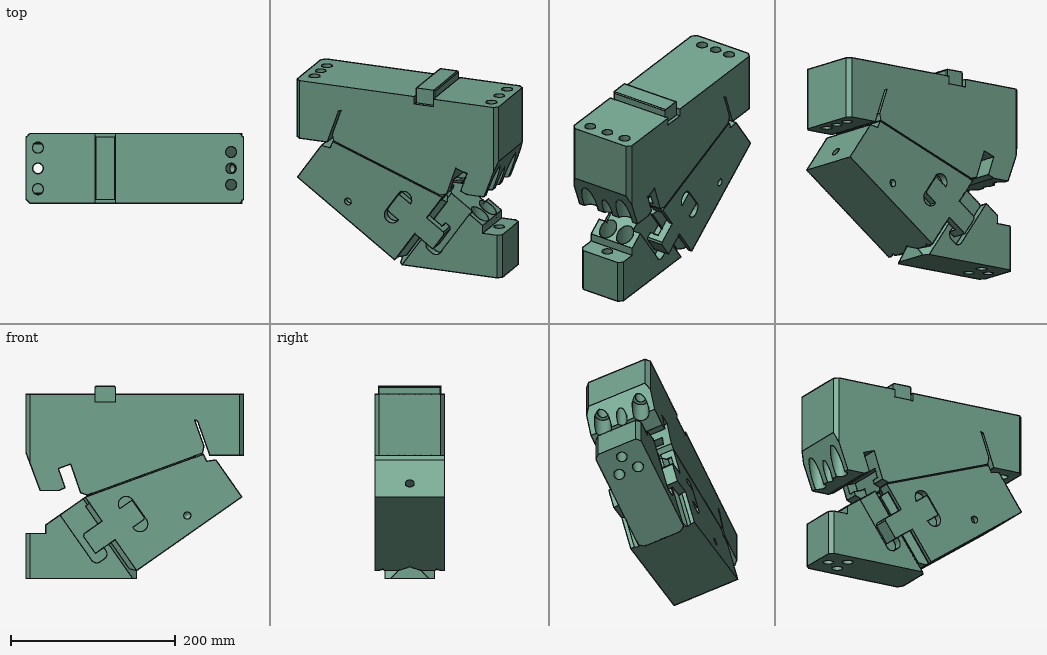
import cadquery as cq
import math


LENGTH = 265.0
WIDTH = 85.0
KEY_TOP = 234.0
HALF_WIDTH = WIDTH / 2
CAM_ANGLE = 20.0
SLIDER_ANGLE = 35.0
CAM_SLOPE = math.tan(math.radians(CAM_ANGLE))
CORNER_CHAMFER = 5.0

SECTION = cq.Plane(origin=(0, 0, 0), xDir=(1, 0, 0), normal=(0, -1, 0))
HEEL_X, HEEL_Z = 135.0, 9.8
COS_S = math.cos(math.radians(SLIDER_ANGLE))
SIN_S = math.sin(math.radians(SLIDER_ANGLE))
ALONG = cq.Vector(COS_S, 0, SIN_S)
UP_FACE = cq.Vector(-SIN_S, 0, COS_S)
HEEL = cq.Vector(HEEL_X, 0, HEEL_Z)
SLIDER_PLANE = cq.Plane(origin=HEEL, xDir=ALONG, normal=(0, -1, 0))

SLIDER_LENGTH = 156.0
SLIDER_FRONT_HEIGHT = 109.0
SLIDER_BACK_HEIGHT = 55.0
SLIDER_SLOPE = math.tan(math.radians(SLIDER_ANGLE - CAM_ANGLE))
SLIDER_TOP_LENGTH = 147.5
STEP_X, STEP_HEIGHT = 146.0, 60.2

GUIDE_ANGLE = 30.0
GUIDE_SLOPE = math.tan(math.radians(GUIDE_ANGLE))
GUIDE_RIDGE = 8.0
GROOVE_HALF_WIDTH = 25.7
RIB_TOP = 100.0
RIB_INNER, RIB_OUTER = 24.5, 27.3
RIB_VALLEY, RIB_EDGE = 32.5, 37.5
RIB_BEVEL = 7.0
CUT_REACH = 53.0

CLAW_BOTTOM, CLAW_TOP = 45.8, 73.5
CLAW_MIDDLE = (CLAW_BOTTOM + CLAW_TOP) / 2
CLAW_HEIGHT = CLAW_TOP - CLAW_BOTTOM
CLAW_REACH = 29.2
CLAW_CHAMFER = 2.5
CLAW_THICKNESS = 9.5
HOOK_LENGTH = 9.3
HOOK_INNER_Y = 21.5
SEAT_X, SEAT_HEIGHT = 35.8, 58.8
SEAT_SPAN = 29.2
SEAT_RADIUS = 9.5
SEAT_GAP = 0.8
SEAT_CORNER_RADIUS = 2.6

SIDE_HOLE_X, SIDE_HOLE_HEIGHT = 88.8, 19.5
SIDE_HOLE_DIAMETER, SIDE_HOLE_DEPTH = 8.7, 8.0
DRILL_POINT = 0.6
END_HOLE_HEIGHT, END_HOLE_DIAMETER, END_HOLE_DEPTH = 20.1, 10.5, 26.5

SCREW_DIAMETER = 13.2
HEAD_DIAMETER = 20.7
DOWEL_DIAMETER = 12.7
FRONT_HOLE_X = 14.8
FRONT_SCREW_Y = 25.2
BACK_HOLE_X = LENGTH - 15.5
BACK_SCREW_Y = 20.0
HOUSING_SEAT_Z = 153.7

HOUSING_TOP = 224.2
HOUSING_BACK_BOTTOM = 149.7
HOUSING_FRONT_BOTTOM = 153.7
LIP_BOTTOM = 107.0
LIP_START_X, LIP_END_X = 17.5, 40.3
LIP_TIP = (48.0, 110.5)
NOSE_X, NOSE_Z = 74.7, 101.5
CAM_END_X = 215.0
SLIT_TOP_LEFT = (205.5, 193.0)
SLIT_TOP_RIGHT = (208.8, 191.5)
SLIT_SHOULDER = (216.8, 160.9)
SLIT_FOOT_X = 223.7
NOTCH_FOOT = (66.5, 104.5)
NOTCH_TOP_RIGHT = (54.5, 139.0)
NOTCH_TOP_LEFT = (39.8, 133.8)

SLOT_NECK_WIDTH = 45.0
RAIL_NECK_WIDTH = 35.0
TEE_HEAD_WIDTH = 65.7
TEE_SHELF, TEE_CEILING = 12.0, 23.8
RAIL_START, RAIL_END = 8.7, 140.5
SLOT_OVERRUN = 10.5
RAIL_TRAVEL = 14.5

KEY_START, KEY_END = 84.0, 109.2
KEY_LENGTH = 75.8
KEY_SEAT_Z = 214.6
KEY_CHAMFER = 1.3

BASE_WIDTH = 60.5
BASE_HALF_WIDTH = BASE_WIDTH / 2
LEDGE_X, LEDGE_Z = 24.0, 55.0
RAMP_START_Z = 65.2
RAMP_END_X = 82.2
NECK_HALF_WIDTH = 19.3
CLAW_GROOVE_FRONT, CLAW_GROOVE_BACK = -37.5, -16.7
CLAW_GROOVE_BOTTOM = 34.2
CLAW_GROOVE_RADIUS = 7.5
LIP_TOP = 61.7
BASE_SCREW_X, BASE_SCREW_Y = 35.0, 12.5
BASE_SEAT_Z = 31.8


def guide_depth(y):
    """Mating V face, measured along the slider from its front face."""
    return GUIDE_RIDGE - GUIDE_SLOPE * y


def housing_bottom_z(x):
    """Height of the housing's sloping underside beside the T slot."""
    return NOSE_Z + (x - NOSE_X) * CAM_SLOPE


def prism(plane, points, width, middle_y=0.0):
    """Outline swept over `width`, centred on Y = middle_y."""
    body = cq.Workplane(plane).polyline(points).close().extrude(width / 2, both=True)
    return body.translate((0, middle_y, 0))


def cross_section(points, bottom, top):
    """Outline given as (along the slider, Y), swept up the slider's front face."""
    plane = cq.Plane(origin=HEEL + UP_FACE * bottom, xDir=ALONG, normal=UP_FACE)
    return cq.Workplane(plane).polyline(points).close().extrude(top - bottom)


def mirrored(half):
    """Closes a half outline, listed from its outer point to the middle, over the X-Z plane."""
    return half + [(x, -y) for x, y in reversed(half) if y > 0]


def drill(body, x, y, diameter, bottom, top):
    """Vertical hole between two heights."""
    hole = cq.Workplane("XY").workplane(offset=bottom).center(x, y).circle(diameter / 2).extrude(top - bottom)
    return body.cut(hole)


def tee(start, end, neck_width):
    """T-shaped bar standing on the sliding plane."""
    cam_direction = cq.Vector(1, 0, CAM_SLOPE)
    plane = cq.Plane(origin=HEEL + UP_FACE * SLIDER_FRONT_HEIGHT, xDir=cam_direction, normal=(0, -1, 0))
    neck = prism(plane, [(start, 0), (end, 0), (end, TEE_SHELF), (start, TEE_SHELF)], neck_width)
    head = prism(plane, [
        (start, TEE_SHELF), (end, TEE_SHELF), (end, TEE_CEILING), (start, TEE_CEILING)], TEE_HEAD_WIDTH)
    return neck.union(head)


def make_housing():
    outline = [
        (0, HOUSING_TOP),
        (LENGTH, HOUSING_TOP),
        (LENGTH, HOUSING_BACK_BOTTOM),
        (SLIT_FOOT_X, HOUSING_BACK_BOTTOM),
        SLIT_TOP_RIGHT,
        SLIT_TOP_LEFT,
        SLIT_SHOULDER,
        (CAM_END_X, housing_bottom_z(CAM_END_X)),
        (NOSE_X, NOSE_Z),
        NOTCH_FOOT,
        NOTCH_TOP_RIGHT,
        NOTCH_TOP_LEFT,
        LIP_TIP,
        (LIP_END_X, LIP_BOTTOM),
        (LIP_START_X, LIP_BOTTOM),
        (0, HOUSING_FRONT_BOTTOM),
    ]
    housing = prism(SECTION, outline, WIDTH)
    plan = cq.Workplane("XY").center(LENGTH / 2, 0).rect(LENGTH, WIDTH).extrude(KEY_TOP)
    housing = housing.intersect(plan.edges("|Z").chamfer(CORNER_CHAMFER))
    housing = add_key(housing)
    housing = housing.cut(tee(-SLOT_OVERRUN, RAIL_END + RAIL_TRAVEL, SLOT_NECK_WIDTH))
    for y in (-FRONT_SCREW_Y, FRONT_SCREW_Y):
        housing = drill(housing, FRONT_HOLE_X, y, SCREW_DIAMETER, 0, HOUSING_TOP)
        housing = drill(housing, FRONT_HOLE_X, y, HEAD_DIAMETER, 0, HOUSING_SEAT_Z)
    for y in (-BACK_SCREW_Y, BACK_SCREW_Y):
        housing = drill(housing, BACK_HOLE_X, y, SCREW_DIAMETER, 0, HOUSING_TOP)
    for x in (FRONT_HOLE_X, BACK_HOLE_X):
        housing = drill(housing, x, 0, DOWEL_DIAMETER, 0, HOUSING_TOP)
    return housing


def add_key(housing):
    """Cross slot with a shorter key standing in it."""
    middle = (KEY_START + KEY_END) / 2
    seat = cq.Workplane("XY").workplane(offset=KEY_SEAT_Z).center(middle, 0)
    slot = seat.rect(KEY_END - KEY_START, WIDTH).extrude(HOUSING_TOP - KEY_SEAT_Z)
    key = seat.rect(KEY_END - KEY_START, KEY_LENGTH).extrude(KEY_TOP - KEY_SEAT_Z)
    key = key.faces(">Z or >Y").edges("|Y or |Z").chamfer(KEY_CHAMFER)
    return housing.cut(slot).union(key)


def make_slider():
    outline = [
        (0, 0),
        (SLIDER_LENGTH, 0),
        (SLIDER_LENGTH, SLIDER_BACK_HEIGHT),
        (STEP_X, STEP_HEIGHT),
        (SLIDER_TOP_LENGTH, SLIDER_FRONT_HEIGHT - SLIDER_TOP_LENGTH * SLIDER_SLOPE),
        (0, SLIDER_FRONT_HEIGHT),
    ]
    slider = prism(SLIDER_PLANE, outline, WIDTH)
    slider = cut_guide(slider).union(tee(RAIL_START, RAIL_END, RAIL_NECK_WIDTH))
    for side in (-1, 1):
        slider = slider.union(make_claw(side)).cut(make_claw_seat(side))
        slider = slider.cut(make_side_hole(side))
    end_plane = cq.Plane(
        origin=HEEL + ALONG * SLIDER_LENGTH + UP_FACE * END_HOLE_HEIGHT, xDir=(0, 1, 0), normal=ALONG * -1
    )
    return slider.cut(cq.Workplane(end_plane).circle(END_HOLE_DIAMETER / 2).extrude(END_HOLE_DEPTH))


def cut_guide(slider):
    """V groove in the front face, with a wear rib down each flank."""
    valley_depth = GUIDE_SLOPE * (RIB_EDGE - RIB_VALLEY)
    rib_depth = guide_depth(RIB_INNER)
    guide_half = [
        (-CUT_REACH, RIB_EDGE),
        (0, RIB_EDGE),
        (valley_depth, RIB_VALLEY),
        (rib_depth, RIB_OUTER),
        (rib_depth, RIB_INNER),
        (GUIDE_RIDGE, 0),
    ]
    groove = mirrored([(0, GROOVE_HALF_WIDTH), (GROOVE_HALF_WIDTH * GUIDE_SLOPE, 0)])
    slider = slider.cut(cross_section(groove, RIB_TOP, SLIDER_FRONT_HEIGHT))
    slider = slider.cut(cross_section(mirrored(guide_half), 0, RIB_TOP))
    rib_half = [
        (valley_depth, RIB_VALLEY),
        (rib_depth, RIB_OUTER),
        (rib_depth, RIB_INNER),
        (valley_depth, (GUIDE_RIDGE - valley_depth) / GUIDE_SLOPE),
    ]
    side_outline = [
        (valley_depth, 0),
        (0, 0),
        (rib_depth, RIB_BEVEL),
        (rib_depth, RIB_TOP),
        (valley_depth, RIB_TOP),
    ]
    for side in (-1, 1):
        rib = cross_section([(x, side * y) for x, y in rib_half], 0, RIB_TOP)
        slider = slider.union(rib.intersect(prism(SLIDER_PLANE, side_outline, WIDTH)))
    return slider


def make_side_hole(side):
    """Blind drilled hole in one flank, with a conical bottom."""
    radius = SIDE_HOLE_DIAMETER / 2
    mouth = HEEL + ALONG * SIDE_HOLE_X + UP_FACE * SIDE_HOLE_HEIGHT + cq.Vector(0, side * HALF_WIDTH, 0)
    inward = cq.Vector(0, -side, 0)
    bore = cq.Solid.makeCylinder(radius, SIDE_HOLE_DEPTH, mouth, inward)
    point = cq.Solid.makeCone(radius, 0, radius * DRILL_POINT, mouth + inward * SIDE_HOLE_DEPTH, inward)
    return cq.Workplane(bore.fuse(point))


def make_claw(side):
    """Arm along one flank of the slider, with a hook turned in behind the base's lip."""
    def bar(root, width, middle):
        return prism(SLIDER_PLANE, [
            (root, CLAW_BOTTOM),
            (root, CLAW_TOP),
            (CLAW_CHAMFER - CLAW_REACH, CLAW_TOP),
            (-CLAW_REACH, CLAW_TOP - CLAW_CHAMFER),
            (-CLAW_REACH, CLAW_BOTTOM),
        ], width, side * middle)

    arm = bar(SEAT_X, CLAW_THICKNESS, HALF_WIDTH - CLAW_THICKNESS / 2)
    hook = bar(HOOK_LENGTH - CLAW_REACH, HALF_WIDTH - HOOK_INNER_Y, (HALF_WIDTH + HOOK_INNER_Y) / 2)
    return arm.union(hook)


def make_claw_seat(side):
    """Rounded pocket left open around the root of a claw."""
    pocket = cq.Workplane(SLIDER_PLANE).center(SEAT_X, SEAT_HEIGHT)
    pocket = pocket.slot2D(SEAT_SPAN + 2 * SEAT_RADIUS, 2 * SEAT_RADIUS, 90)
    pocket = pocket.extrude(CLAW_THICKNESS / 2, both=True)
    root = cq.Workplane(SLIDER_PLANE).center(SEAT_X - SEAT_GAP, CLAW_MIDDLE)
    root = root.rect(2 * SEAT_RADIUS, CLAW_HEIGHT).extrude(CLAW_THICKNESS / 2, both=True)
    root = root.edges("|Y").edges(">X").fillet(SEAT_CORNER_RADIUS)
    return pocket.cut(root).translate((0, side * (HALF_WIDTH - CLAW_THICKNESS / 2), 0))


def make_base():
    outline = [
        (0, 0),
        (HEEL_X, 0),
        (HEEL_X, RAMP_START_Z),
        (RAMP_END_X, RAMP_START_Z + (RAMP_END_X - LEDGE_X) * SIN_S / COS_S),
        (LEDGE_X, RAMP_START_Z),
        (LEDGE_X, LEDGE_Z),
        (0, LEDGE_Z),
    ]
    base = prism(SECTION, outline, BASE_WIDTH)
    base = base.edges("|Z").edges("<X").chamfer(CORNER_CHAMFER)
    outer_depth = guide_depth(BASE_HALF_WIDTH)
    space = mirrored([
        (CUT_REACH, BASE_HALF_WIDTH), (outer_depth, BASE_HALF_WIDTH), (GUIDE_RIDGE, 0)])
    base = base.cut(cross_section(space, -CUT_REACH, SLIDER_FRONT_HEIGHT + CUT_REACH))
    for side in (-1, 1):
        base = base.cut(make_claw_groove(side))
        base = drill(base, BASE_SCREW_X, side * BASE_SCREW_Y, SCREW_DIAMETER, 0, HOUSING_TOP)
        base = drill(base, BASE_SCREW_X, side * BASE_SCREW_Y, HEAD_DIAMETER, BASE_SEAT_Z, HOUSING_TOP)
    return drill(base, FRONT_HOLE_X, 0, DOWEL_DIAMETER, 0, HOUSING_TOP)


def make_claw_groove(side):
    """Groove down one flank, open to the guide above the lip that the claw hooks behind."""
    depth = BASE_HALF_WIDTH - NECK_HALF_WIDTH
    middle = side * (BASE_HALF_WIDTH + NECK_HALF_WIDTH) / 2
    top = SLIDER_FRONT_HEIGHT + CUT_REACH
    plane = cq.Workplane(SLIDER_PLANE).center(
        (CLAW_GROOVE_FRONT + CLAW_GROOVE_BACK) / 2, (CLAW_GROOVE_BOTTOM + top) / 2)
    groove = plane.rect(CLAW_GROOVE_BACK - CLAW_GROOVE_FRONT, top - CLAW_GROOVE_BOTTOM)
    groove = groove.extrude(depth / 2, both=True).edges("|Y").fillet(CLAW_GROOVE_RADIUS)
    opening = prism(SLIDER_PLANE, [
        (CLAW_GROOVE_FRONT, LIP_TOP), (CUT_REACH, LIP_TOP), (CUT_REACH, top), (CLAW_GROOVE_FRONT, top)], depth)
    return groove.union(opening).translate((0, middle, 0))


housing = make_housing()
slider = make_slider()
base = make_base()

result = cq.Compound.makeCompound([housing.val(), slider.val(), base.val()])